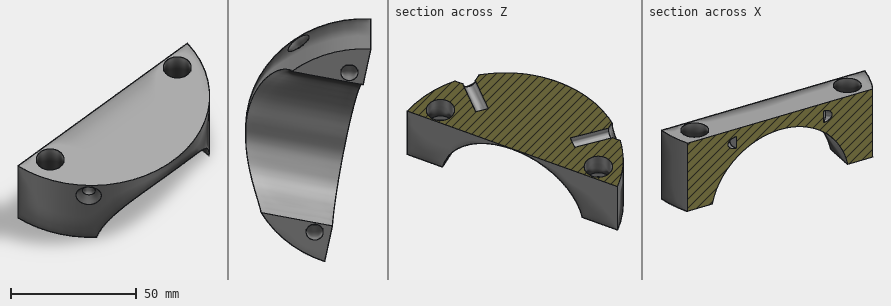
import cadquery as cq
import math

LENGTH = 93.1
DEPTH = 40.6
HEIGHT = 31.8
RIM_RADIUS = ((LENGTH / 2) ** 2 + DEPTH ** 2) / (2 * DEPTH)
RIM_CENTER_X = DEPTH - RIM_RADIUS

ARCH_CROWN_HEIGHT = 25.3
ARCH_HALF_WIDTH = 30.9
ARCH_RADIUS = (ARCH_HALF_WIDTH ** 2 + ARCH_CROWN_HEIGHT ** 2) / (2 * ARCH_CROWN_HEIGHT)
ARCH_CENTER_Z = ARCH_CROWN_HEIGHT - ARCH_RADIUS

BOLT_X = 6.4
BOLT_SPACING = 69.9
BOLT_DIAMETER = 6.8
COUNTERBORE_DIAMETER = 11.1
COUNTERBORE_DEPTH = HEIGHT / 2

SIDE_HOLE_ANGLE = 45.0
SIDE_HOLE_Z = 25.4
SIDE_HOLE_DIAMETER = 5.1
SIDE_HOLE_DEPTH = 18.6
COUNTERSINK_DIAMETER = 10.6
COUNTERSINK_DEPTH = (COUNTERSINK_DIAMETER - SIDE_HOLE_DIAMETER) / 2


def make_body():
    return (
        cq.Workplane("XY")
        .moveTo(0, -LENGTH / 2)
        .threePointArc((DEPTH, 0), (0, LENGTH / 2))
        .close()
        .extrude(HEIGHT)
    )


def make_arch():
    return cq.Workplane("YZ").center(0, ARCH_CENTER_Z).circle(ARCH_RADIUS).extrude(DEPTH)


def make_side_hole(angle):
    """Cutter whose axis meets the rim's axis, at an angle from +X."""
    cos_angle = math.cos(math.radians(angle))
    sin_angle = math.sin(math.radians(angle))
    mouth = cq.Vector(
        RIM_CENTER_X + RIM_RADIUS * cos_angle,
        RIM_RADIUS * sin_angle,
        SIDE_HOLE_Z,
    )
    inward = cq.Vector(-cos_angle, -sin_angle, 0)
    hole = cq.Solid.makeCylinder(SIDE_HOLE_DIAMETER / 2, SIDE_HOLE_DEPTH, mouth, inward)
    countersink = cq.Solid.makeCone(
        COUNTERSINK_DIAMETER / 2, SIDE_HOLE_DIAMETER / 2, COUNTERSINK_DEPTH, mouth, inward
    )
    return cq.Workplane(hole.fuse(countersink))


result = make_body().cut(make_arch())

result = (
    result.faces(">Z")
    .workplane(origin=(BOLT_X, 0, HEIGHT))
    .pushPoints([(0, -BOLT_SPACING / 2), (0, BOLT_SPACING / 2)])
    .cboreHole(BOLT_DIAMETER, COUNTERBORE_DIAMETER, COUNTERBORE_DEPTH)
)

for side in (-1, 1):
    result = result.cut(make_side_hole(side * SIDE_HOLE_ANGLE))